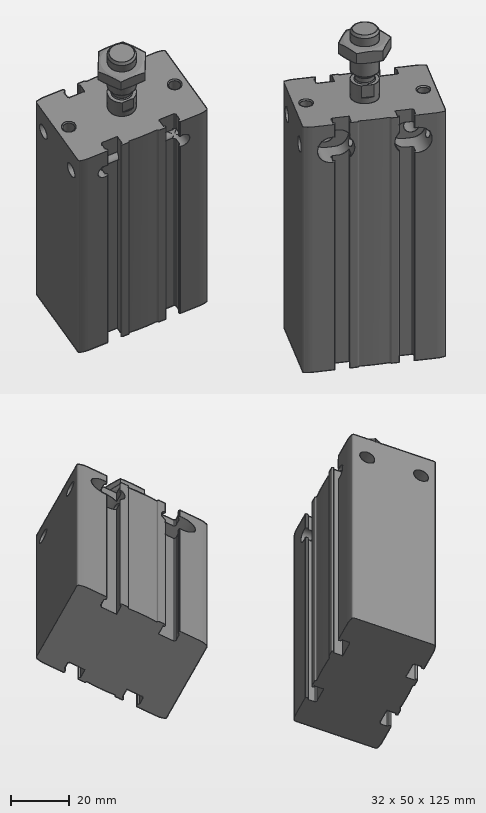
import cadquery as cq
import math

width = 32.0
depth = 50.0
height = 98.0
half_width = width / 2
half_depth = depth / 2

shallow_start = 21.6
shallow_radius = 8.8
corner_round = 0.8
shallow_end = half_depth - corner_round
shallow_run = shallow_end - shallow_start
shallow_sag = shallow_radius - math.sqrt(shallow_radius**2 - shallow_run**2)

recess_half_mouth = 6.0
recess_half_floor = 5.2
recess_drop = 0.5
bulge_rise = 0.19

slot_offset = 11.2
slot_width = 6.4
slot_gap = 5.1
slot_floor_x = 11.8
lip_thickness = 0.9
outer_lip_chamfer = 0.2
outer_wall_chamfer = 0.5

mount_diameter = 5.5
mount_drop = 10.0
mount_z = height - mount_drop
front_hole_x = 10.0
side_hole_y = 15.0
counterbore_diameter = 10.0
counterbore_shift = 3.0
counterbore_depth = 10.0

tapped_y = 20.5
tapped_diameter = 4.1
tapped_mouth = 5.0
tapped_depth = 8.0
drill_point_angle = 118.0

total_height = 125.0
rod_diameter = 10.0
shoulder_height = 7.0
shoulder_z = height + shoulder_height
neck_diameter = 6.6
neck_length = 2.0
neck_root_chamfer = 0.4
tip_diameter = 8.6
tip_length = 1.0
flats_width = 9.0
collar_height = 2.2
flats_bottom_z = height + collar_height

nut_across_flats = 16.0
nut_height = 5.0
nut_bottom_z = 115.8
nut_face_diameter = 14.5
nut_chamfer_angle = 15.0


def housing_block():
    def corner_arc_middle():
        half_run = shallow_run / 2
        sag = shallow_radius - math.sqrt(shallow_radius**2 - half_run**2)
        return (half_width - sag, shallow_start + half_run)

    round_inset = corner_round * (1 - math.sqrt(0.5))
    corner_x = half_width - shallow_sag
    recess_x = half_width - recess_drop
    step_middle = (
        half_width - recess_drop / 2,
        (recess_half_mouth + recess_half_floor) / 2,
    )
    quarter = (
        cq.Workplane("XY")
        .lineTo(recess_x, 0)
        .lineTo(recess_x, recess_half_floor)
        .tangentArcPoint(step_middle, relative=False)
        .tangentArcPoint((half_width, recess_half_mouth), relative=False)
        .lineTo(half_width, shallow_start)
        .threePointArc(corner_arc_middle(), (corner_x, shallow_end))
        .threePointArc(
            (corner_x - round_inset, half_depth - round_inset),
            (corner_x - corner_round, half_depth),
        )
        .lineTo(0, half_depth)
        .close()
        .extrude(height)
    )
    bulge = (
        cq.Workplane("XY")
        .moveTo(0, -recess_half_floor)
        .lineTo(recess_x, -recess_half_floor)
        .threePointArc((recess_x + bulge_rise, 0), (recess_x, recess_half_floor))
        .lineTo(0, recess_half_floor)
        .close()
        .extrude(height)
    )
    half = quarter.union(quarter.mirror("XZ")).union(bulge)
    return half.union(half.mirror("YZ")).clean()


def sensor_slot(side_x, side_y):
    def place(x, offset):
        return (side_x * x, side_y * (slot_offset + offset))

    half_slot = slot_width / 2
    half_gap = slot_gap / 2
    lip_x = half_width - lip_thickness
    lip_radius = lip_thickness / 2
    return (
        cq.Workplane("XY")
        .moveTo(*place(half_width, half_gap + outer_lip_chamfer))
        .lineTo(*place(half_width - outer_lip_chamfer, half_gap))
        .lineTo(*place(lip_x, half_gap))
        .lineTo(*place(lip_x - outer_wall_chamfer, half_slot))
        .lineTo(*place(slot_floor_x + outer_wall_chamfer, half_slot))
        .lineTo(*place(slot_floor_x, half_slot - outer_wall_chamfer))
        .lineTo(*place(slot_floor_x, -half_slot))
        .lineTo(*place(lip_x, -half_slot))
        .lineTo(*place(lip_x, -half_gap - lip_radius))
        .threePointArc(
            place(lip_x + lip_radius, -half_gap),
            place(half_width, -half_gap - lip_radius),
        )
        .close()
        .extrude(height)
    )


def front_mount_hole(side_x):
    return (
        cq.Workplane("XZ", origin=(side_x * front_hole_x, half_depth, mount_z))
        .circle(mount_diameter / 2)
        .extrude(depth)
    )


def side_mount_hole(side_y):
    return (
        cq.Workplane("YZ", origin=(-half_width, side_y * side_hole_y, mount_z))
        .circle(mount_diameter / 2)
        .extrude(width)
    )


def counterbore(side_y):
    middle_y = side_y * (side_hole_y - counterbore_shift / 2)
    return (
        cq.Workplane("YZ", origin=(-half_width, middle_y, mount_z))
        .slot2D(counterbore_shift + counterbore_diameter, counterbore_diameter)
        .extrude(counterbore_depth)
    )


def tapped_hole(side_y):
    radius = tapped_diameter / 2
    mouth_radius = tapped_mouth / 2
    full_depth_z = height - tapped_depth
    point_length = radius / math.tan(math.radians(drill_point_angle / 2))
    profile = [
        (0, full_depth_z - point_length),
        (radius, full_depth_z),
        (radius, height - (mouth_radius - radius)),
        (mouth_radius, height),
        (0, height),
    ]
    hole = cq.Workplane("XZ").polyline(profile).close().revolve(360, (0, 0), (0, 1))
    return hole.translate((0, side_y * tapped_y, 0))


def make_housing():
    body = housing_block()
    for side_x in (-1, 1):
        body = body.cut(front_mount_hole(side_x))
        for side_y in (-1, 1):
            body = body.cut(sensor_slot(side_x, side_y))
    for side_y in (-1, 1):
        body = body.cut(side_mount_hole(side_y))
        body = body.cut(counterbore(side_y))
        body = body.cut(tapped_hole(side_y))
    return body


def make_rod():
    radius = rod_diameter / 2
    neck_radius = neck_diameter / 2
    tip_radius = tip_diameter / 2
    neck_top_z = shoulder_z + neck_length
    profile = [
        (0, height),
        (radius, height),
        (radius, shoulder_z),
        (neck_radius + neck_root_chamfer, shoulder_z),
        (neck_radius, shoulder_z + neck_root_chamfer),
        (neck_radius, neck_top_z),
        (radius, neck_top_z + (radius - neck_radius)),
        (radius, total_height - tip_length),
        (tip_radius, total_height),
        (0, total_height),
    ]
    rod = cq.Workplane("XZ").polyline(profile).close().revolve(360, (0, 0), (0, 1))
    flats_height = shoulder_z - flats_bottom_z
    for side_x in (-1, 1):
        flat_cut = cq.Workplane("XY").box(
            rod_diameter, 2 * rod_diameter, flats_height, centered=(True, True, False)
        )
        flat_x = side_x * (flats_width + rod_diameter) / 2
        rod = rod.cut(flat_cut.translate((flat_x, 0, flats_bottom_z)))
    return rod


def make_nut():
    across_corners = nut_across_flats / math.cos(math.radians(30))
    corner_radius = across_corners / 2
    face_radius = nut_face_diameter / 2
    corner_drop = (corner_radius - face_radius) * math.tan(math.radians(nut_chamfer_angle))
    prism = (
        cq.Workplane("XY")
        .polygon(6, across_corners)
        .extrude(nut_height)
        .rotate((0, 0, 0), (0, 0, 1), 30)
    )
    chamfer_envelope = (
        cq.Workplane("XZ")
        .polyline([
            (0, 0),
            (face_radius, 0),
            (corner_radius, corner_drop),
            (corner_radius, nut_height - corner_drop),
            (face_radius, nut_height),
            (0, nut_height),
        ])
        .close()
        .revolve(360, (0, 0), (0, 1))
    )
    bore = cq.Workplane("XY").circle(rod_diameter / 2).extrude(nut_height)
    nut = prism.intersect(chamfer_envelope).cut(bore)
    return nut.translate((0, 0, nut_bottom_z))


housing = make_housing()
rod = make_rod()
nut = make_nut()

result = cq.Compound.makeCompound([housing.val(), rod.val(), nut.val()])